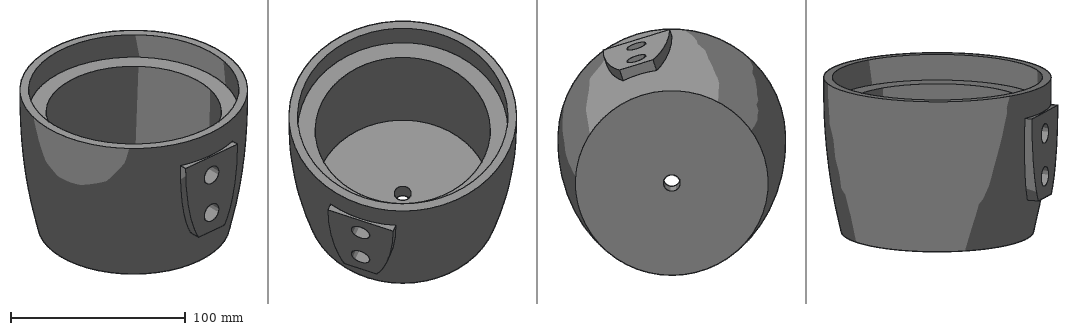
import cadquery as cq
import math

height = 90.0
rim_diameter = 130.0
base_diameter = 110.0
waist_diameter = 125.9
floor_thickness = 10.0
bore_diameter = 100.0
recess_diameter = 120.0
recess_depth = 15.0
drain_diameter = 9.6

overall_length = 131.2
pad_top_width = 40.0
pad_bottom_width = pad_top_width / 2
pad_height = 50.0
pad_bottom_z = 25.0
pad_top_z = pad_bottom_z + pad_height
pad_semi_axis = pad_height / math.sqrt(1 - (pad_bottom_width / pad_top_width) ** 2)

waist_point = cq.Vector(waist_diameter / 2, height / 2, 0)
rim_point = cq.Vector(rim_diameter / 2, height, 0)
base_point = cq.Vector(base_diameter / 2, 0, 0)
side_arc = cq.Edge.makeThreePointArc(base_point, waist_point, rim_point)
widest_radius = side_arc.arcCenter().x + side_arc.radius()
pad_face_x = overall_length - widest_radius

cross_hole_diameter = 11.1
cross_hole_spacing = 25.0
pad_center_z = pad_bottom_z + pad_height / 2


def make_body():
    """Solid of revolution with a gently bulging side."""
    return (
        cq.Workplane("XZ")
        .lineTo(base_diameter / 2, 0)
        .threePointArc((waist_diameter / 2, height / 2), (rim_diameter / 2, height))
        .lineTo(0, height)
        .close()
        .revolve(360, (0, 0, 0), (0, 1, 0))
    )


def make_pad():
    """Pad running from the body axis out to its flat face; the bore later clears its inner part."""
    ellipse = (
        cq.Workplane("YZ", origin=(0, 0, pad_top_z))
        .ellipse(pad_top_width / 2, pad_semi_axis)
        .extrude(pad_face_x)
    )
    height_band = cq.Workplane("XY", origin=(0, 0, pad_center_z)).box(
        2 * pad_face_x, pad_top_width, pad_height
    )
    return ellipse.intersect(height_band)


def cylinder_up(diameter, bottom_z, top_z):
    """Vertical cylinder on the body axis."""
    return cq.Workplane("XY", origin=(0, 0, bottom_z)).circle(diameter / 2).extrude(top_z - bottom_z)


def cross_hole(center_z):
    """Horizontal cylinder from the body axis out through the pad face."""
    return cq.Workplane("YZ", origin=(0, 0, center_z)).circle(cross_hole_diameter / 2).extrude(pad_face_x)


result = make_body().union(make_pad())
result = result.cut(cylinder_up(bore_diameter, floor_thickness, height))
result = result.cut(cylinder_up(recess_diameter, height - recess_depth, height))
result = result.cut(cylinder_up(drain_diameter, 0, floor_thickness))

for side in (-1, 1):
    result = result.cut(cross_hole(pad_center_z + side * cross_hole_spacing / 2))